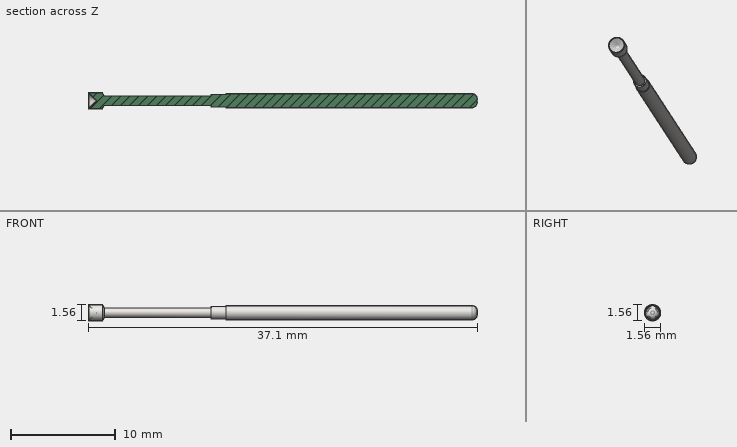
import cadquery as cq


total_length = 37.08

head_diameter = 1.56
head_straight_length = 1.3
head_length = 1.5
cup_rim_width = 0.06
cup_depth = 0.75

plunger_diameter = 0.94

collar_start = 11.68
collar_diameter = 1.22

barrel_start = 13.12
barrel_diameter = 1.36
end_rounding = 0.5


def make_body():
    """Solid stepped body, revolved from its half outline about the X axis."""
    head_radius = head_diameter / 2
    plunger_radius = plunger_diameter / 2
    collar_radius = collar_diameter / 2
    barrel_radius = barrel_diameter / 2
    outline = (
        cq.Workplane("XZ")
        .lineTo(0, head_radius)
        .lineTo(head_straight_length, head_radius)
        .lineTo(head_length, plunger_radius)
        .lineTo(collar_start, plunger_radius)
        .lineTo(collar_start, collar_radius)
        .lineTo(barrel_start, collar_radius)
        .lineTo(barrel_start, barrel_radius)
        .lineTo(total_length, barrel_radius)
        .lineTo(total_length, 0)
        .close()
    )
    body = outline.revolve(360, (0, 0, 0), (1, 0, 0))
    return body.faces(">X").edges().fillet(end_rounding)


def make_cup():
    """Conical recess that opens at the front face of the head."""
    cup_radius = head_diameter / 2 - cup_rim_width
    outline = cq.Workplane("XZ").lineTo(0, cup_radius).lineTo(cup_depth, 0).close()
    return outline.revolve(360, (0, 0, 0), (1, 0, 0))


result = make_body().cut(make_cup())